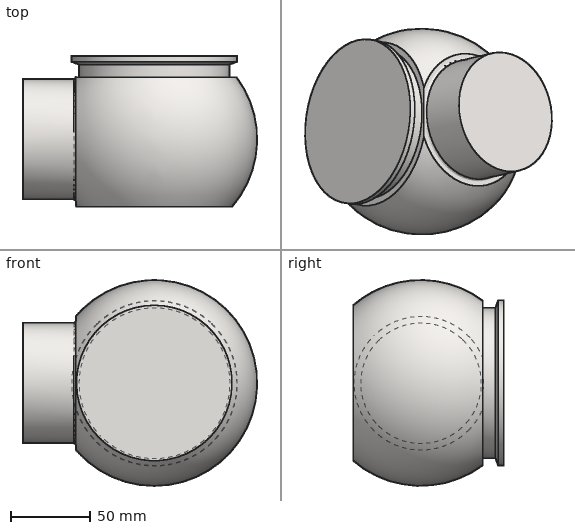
import cadquery as cq
import math

sphere_radius = 65.05
front_flat_y = -42.75
back_flat_y = 39.1
left_flat_x = -49.5

spigot_radius = 38.05
spigot_end_x = -82.96
spigot_fillet = 1.4

neck_radius = 47.6
flange_radius = 52.25
flange_bevel_start_y = 47.1
flange_rim_y = 48.8
flange_back_y = 52.5


def sphere_section_radius(offset):
    """Radius of the circle cut from the sphere by a plane at this offset from its centre."""
    return math.sqrt(sphere_radius**2 - offset**2)


def make_body():
    """Truncated sphere, neck and flange, revolved about the Y axis, then cut flat on the left."""
    body = (
        cq.Workplane("YZ")
        .moveTo(front_flat_y, 0)
        .lineTo(front_flat_y, sphere_section_radius(front_flat_y))
        .threePointArc((0, sphere_radius), (back_flat_y, sphere_section_radius(back_flat_y)))
        .lineTo(back_flat_y, neck_radius)
        .lineTo(flange_bevel_start_y, neck_radius)
        .lineTo(flange_rim_y, flange_radius)
        .lineTo(flange_back_y, flange_radius)
        .lineTo(flange_back_y, 0)
        .close()
        .revolve(360, (0, 0, 0), (1, 0, 0))
    )
    left_cut = cq.Workplane("XY").box(
        sphere_radius + left_flat_x,
        back_flat_y - front_flat_y,
        2 * sphere_radius,
        centered=(False, False, True),
    )
    return body.cut(left_cut.translate((-sphere_radius, front_flat_y, 0)))


def make_spigot():
    """Round spigot with a concave fillet where it meets the left flat."""
    fillet_start_x = left_flat_x - spigot_fillet
    fillet_outer_radius = spigot_radius + spigot_fillet
    fillet_mid_offset = spigot_fillet * math.sqrt(0.5)
    fillet_mid = (
        fillet_start_x + fillet_mid_offset,
        fillet_outer_radius - fillet_mid_offset,
    )
    return (
        cq.Workplane("XZ")
        .lineTo(spigot_end_x, 0)
        .lineTo(spigot_end_x, spigot_radius)
        .lineTo(fillet_start_x, spigot_radius)
        .threePointArc(fillet_mid, (left_flat_x, fillet_outer_radius))
        .lineTo(left_flat_x, spigot_radius)
        .lineTo(0, spigot_radius)
        .close()
        .revolve(360, (0, 0, 0), (1, 0, 0))
    )


result = make_body().union(make_spigot())